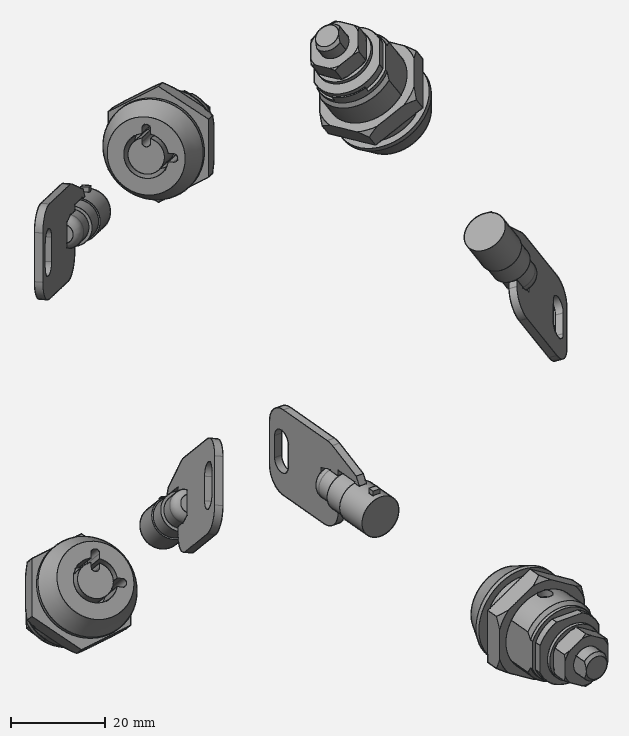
import cadquery as cq
import math


OVERALL_LENGTH = 117.1
LOCK_LENGTH = 33.6
KEY_LENGTH = 38.9

BEVEL_END = 5.3
HEAD_END = 6.3
REAR_CHAMFER_START = 19.8
REAR_CHAMFER_END = 20.7
BODY_END = 21.5
CAM_SEAT_START = 22.1
CAM_SEAT_END = 23.8

FACE_RADIUS = 8.5
HEAD_RADIUS = 11.0
BODY_RADIUS = 9.4
BODY_REAR_RADIUS = 8.7
BODY_FLAT = 8.0
PLUG_RADIUS = 6.7
CAM_SEAT_RADIUS = 8.3
CAM_SEAT_FLAT = 7.6
STOP_END = 22.8
STOP_HALF_ANGLE = 27.0
STUD_RADIUS = 3.4
STUD_FLAT = 2.7
STUD_CHAMFER = 0.7

DOWEL_RADIUS = 1.6
DOWEL_Y = 15.0
DOWEL_DEPTH = 1.8
KEYWAY_OUTER_RADIUS = 4.9
KEYWAY_INNER_RADIUS = 4.0
KEYWAY_DEPTH = 8.2
NOTCH_WIDTH = 1.9
NOTCH_REACH = 6.9
TOP_NOTCH_BOTTOM = 2.0

NUT_FRONT = 9.5
NUT_BACK = 13.8
NUT_ACROSS_FLATS = 2 * HEAD_RADIUS
NUT_CHAMFER_RADIUS = 11.6
NUT_CHAMFER_LENGTH = 1.2

FLANGE_FRONT = 24.9
FLANGE_BACK = 25.8
CAM_NUT_BACK = 30.0
FLANGE_RADIUS = 6.5
CAM_NUT_ACROSS_FLATS = 11.1
CAM_NUT_CHAMFER_RADIUS = 5.9
CAM_NUT_CHAMFER_LENGTH = 0.4

KEY_TIP_Y = LOCK_LENGTH - OVERALL_LENGTH + KEY_LENGTH
TUBE_RADIUS = 4.8
TUBE_END = 8.1
COLLAR_RADIUS = 4.5
COLLAR_END = 13.1
SHANK_RADIUS = 3.7
SHANK_END = 17.1
DOME_END = 19.5
DOME_END_RADIUS = 2.1
TOOTH_START = 1.4
TOOTH_LENGTH = 1.5
TOOTH_TOP = 5.9
KEY_THICKNESS = 1.9

BLADE_HALF_HEIGHT = 10.4
BLADE_NOSE_START = 6.3
BLADE_NOSE_END = 7.5
BLADE_NOSE_HEIGHT = 6.7
BLADE_SLOPE_END = 17.0
BLADE_BACK = 14.0
BLADE_CORNER = 5.0
WINDOW_HEIGHT = 5.0
POCKET_END = 20.1
POCKET_HALF_HEIGHT = 2.8
RING_SLOT_CENTER = 34.5
RING_SLOT_WIDTH = 4.9
RING_SLOT_LENGTH = 10.3


def turned(profile):
    """Solid of revolution about the Y axis from (radius, y) points."""
    return cq.Workplane("XY").polyline(profile).close().revolve(360, (0, 0, 0), (0, 1, 0))


def rod(radius, y_start, y_end):
    return turned([(0, y_start), (radius, y_start), (radius, y_end), (0, y_end)])


def block(x_min, x_max, y_min, y_max, z_min, z_max):
    size = (x_max - x_min, y_max - y_min, z_max - z_min)
    return cq.Workplane("XY").box(*size, centered=False).translate((x_min, y_min, z_min))


def hex_prism(across_flats, y_start, y_end):
    """Hexagonal prism along Y with two corners on the Z axis."""
    corner_radius = across_flats / math.sqrt(3)
    angles = [math.radians(30 + 60 * i) for i in range(6)]
    corners = [(corner_radius * math.cos(a), corner_radius * math.sin(a)) for a in angles]
    plane = cq.Workplane("XZ", origin=(0, y_start, 0))
    return plane.polyline(corners).close().extrude(y_start - y_end)


def make_body_shell():
    """Bevelled head and threaded body with its two side flats."""
    head = turned([(0, 0), (FACE_RADIUS, 0), (HEAD_RADIUS, BEVEL_END),
                   (HEAD_RADIUS, HEAD_END), (0, HEAD_END)])
    barrel = turned([(0, HEAD_END), (BODY_RADIUS, HEAD_END), (BODY_RADIUS, REAR_CHAMFER_START),
                     (BODY_REAR_RADIUS, REAR_CHAMFER_END), (BODY_REAR_RADIUS, BODY_END),
                     (0, BODY_END)])
    flats = block(-BODY_FLAT, BODY_FLAT, HEAD_END, BODY_END, -BODY_RADIUS, BODY_RADIUS)
    return head.union(barrel.intersect(flats))


def make_rear_end():
    """Plug end, cam seat, rotation stop and flattened stud behind the body."""
    plug = rod(PLUG_RADIUS, BODY_END, CAM_SEAT_START)
    seat_flats = block(-CAM_SEAT_FLAT, CAM_SEAT_FLAT, CAM_SEAT_START, CAM_SEAT_END,
                       -CAM_SEAT_RADIUS, CAM_SEAT_FLAT)
    seat = rod(CAM_SEAT_RADIUS, CAM_SEAT_START, CAM_SEAT_END).intersect(seat_flats)

    stop_center = (PLUG_RADIUS + BODY_REAR_RADIUS) / 2
    stop = (cq.Workplane("XY")
            .center(stop_center, (BODY_END + STOP_END) / 2)
            .rect(BODY_REAR_RADIUS - PLUG_RADIUS, STOP_END - BODY_END)
            .revolve(2 * STOP_HALF_ANGLE, (-stop_center, 0, 0), (-stop_center, 1, 0))
            .rotate((0, 0, 0), (0, 1, 0), 90 - STOP_HALF_ANGLE))

    stud = turned([(0, CAM_SEAT_END), (STUD_RADIUS, CAM_SEAT_END),
                   (STUD_RADIUS, LOCK_LENGTH - STUD_CHAMFER),
                   (STUD_RADIUS - STUD_CHAMFER, LOCK_LENGTH), (0, LOCK_LENGTH)])
    stud_flats = block(-STUD_FLAT, STUD_FLAT, CAM_SEAT_END, LOCK_LENGTH, -STUD_RADIUS, STUD_RADIUS)
    return plug.union(seat).union(stop).union(stud.intersect(stud_flats))


def make_notch(inner_end):
    """Round-ended keyway notch along +X, from inner_end out to NOTCH_REACH."""
    length = NOTCH_REACH - inner_end
    middle = (NOTCH_REACH + inner_end) / 2
    return cq.Workplane("XZ").center(middle, 0).slot2D(length, NOTCH_WIDTH).extrude(-KEYWAY_DEPTH)


def make_keyway():
    """Annular key slot with one notch on the +X side and one on top."""
    ring = rod(KEYWAY_OUTER_RADIUS, 0, KEYWAY_DEPTH).cut(rod(KEYWAY_INNER_RADIUS, 0, KEYWAY_DEPTH))
    side_notch = make_notch(KEYWAY_INNER_RADIUS)
    top_notch = make_notch(TOP_NOTCH_BOTTOM).rotate((0, 0, 0), (0, 1, 0), -90)
    return ring.union(side_notch).union(top_notch)


def make_lock():
    dowel_hole = (cq.Workplane("XY", origin=(0, DOWEL_Y, BODY_RADIUS - DOWEL_DEPTH))
                  .circle(DOWEL_RADIUS).extrude(2 * DOWEL_DEPTH))
    return make_body_shell().union(make_rear_end()).cut(make_keyway()).cut(dowel_hole)


def make_mounting_nut():
    """Hexagon nut on the body thread, chamfered on its rear side."""
    corner_radius = NUT_ACROSS_FLATS / math.sqrt(3)
    envelope = turned([(BODY_RADIUS, NUT_FRONT), (corner_radius, NUT_FRONT),
                       (corner_radius, NUT_BACK - NUT_CHAMFER_LENGTH),
                       (NUT_CHAMFER_RADIUS, NUT_BACK), (BODY_RADIUS, NUT_BACK)])
    return hex_prism(NUT_ACROSS_FLATS, NUT_FRONT, NUT_BACK).intersect(envelope)


def make_cam_nut():
    """Flanged hexagon nut on the stud, chamfered on both ends of the hexagon."""
    corner_radius = CAM_NUT_ACROSS_FLATS / math.sqrt(3)
    envelope = turned([(0, FLANGE_BACK), (CAM_NUT_CHAMFER_RADIUS, FLANGE_BACK),
                       (corner_radius, FLANGE_BACK + CAM_NUT_CHAMFER_LENGTH),
                       (corner_radius, CAM_NUT_BACK - CAM_NUT_CHAMFER_LENGTH),
                       (CAM_NUT_CHAMFER_RADIUS, CAM_NUT_BACK), (0, CAM_NUT_BACK)])
    hexagon = hex_prism(CAM_NUT_ACROSS_FLATS, FLANGE_BACK, CAM_NUT_BACK).intersect(envelope)
    flange = rod(FLANGE_RADIUS, FLANGE_FRONT, FLANGE_BACK)
    return flange.union(hexagon).cut(rod(STUD_RADIUS, FLANGE_FRONT, CAM_NUT_BACK))


def key_y(distance):
    """Y position at a distance behind the key tip."""
    return KEY_TIP_Y - distance


def make_key_barrel():
    """Stepped barrel with a domed rear end and a locating tooth on top."""
    dome_bulge = math.sqrt(0.5)
    dome_middle = (DOME_END_RADIUS + (SHANK_RADIUS - DOME_END_RADIUS) * dome_bulge,
                   key_y(SHANK_END + (DOME_END - SHANK_END) * dome_bulge))
    barrel = (cq.Workplane("XY")
              .moveTo(0, key_y(0))
              .lineTo(TUBE_RADIUS, key_y(0))
              .lineTo(TUBE_RADIUS, key_y(TUBE_END))
              .lineTo(COLLAR_RADIUS, key_y(TUBE_END))
              .lineTo(COLLAR_RADIUS, key_y(COLLAR_END))
              .lineTo(SHANK_RADIUS, key_y(COLLAR_END))
              .lineTo(SHANK_RADIUS, key_y(SHANK_END))
              .threePointArc(dome_middle, (DOME_END_RADIUS, key_y(DOME_END)))
              .lineTo(0, key_y(DOME_END))
              .close()
              .revolve(360, (0, 0, 0), (0, 1, 0)))
    tooth = block(-KEY_THICKNESS / 2, KEY_THICKNESS / 2,
                  key_y(TOOTH_START + TOOTH_LENGTH), key_y(TOOTH_START), 0, TOOTH_TOP)
    return barrel.union(tooth)


def key_plate(outline):
    """Flat plate of the key's thickness from (distance behind tip, z) points."""
    points = [(key_y(distance), z) for distance, z in outline]
    return cq.Workplane("YZ").polyline(points).close().extrude(KEY_THICKNESS / 2, both=True)


def make_key_blade():
    """Grip plate with rounded corners, a ring slot and a pocket behind the dome."""
    top = BLADE_HALF_HEIGHT
    grip = key_plate([(BLADE_NOSE_START, 0), (BLADE_NOSE_START, TUBE_RADIUS),
                      (BLADE_NOSE_END, BLADE_NOSE_HEIGHT), (BLADE_SLOPE_END, top),
                      (KEY_LENGTH, top), (KEY_LENGTH, -top), (BLADE_BACK, -top), (BLADE_BACK, 0)])
    rounded = [(BLADE_SLOPE_END, top), (KEY_LENGTH, top), (KEY_LENGTH, -top), (BLADE_BACK, -top)]
    for distance, z in rounded:
        corner = cq.selectors.NearestToPointSelector((0, key_y(distance), z))
        grip = grip.edges("|X").edges(corner).fillet(BLADE_CORNER)

    window = block(-KEY_THICKNESS, KEY_THICKNESS, key_y(BLADE_BACK), key_y(TUBE_END), 0, WINDOW_HEIGHT)
    pocket = key_plate([(SHANK_END, SHANK_RADIUS), (POCKET_END, POCKET_HALF_HEIGHT),
                        (POCKET_END, -POCKET_HALF_HEIGHT), (SHANK_END, -SHANK_RADIUS)])
    ring_slot = (cq.Workplane("YZ")
                 .center(key_y(RING_SLOT_CENTER), 0)
                 .slot2D(RING_SLOT_LENGTH, RING_SLOT_WIDTH, 90)
                 .extrude(KEY_THICKNESS, both=True))
    return grip.cut(window).cut(pocket).cut(ring_slot)


def make_key():
    return make_key_barrel().union(make_key_blade())


lock = make_lock()
mounting_nut = make_mounting_nut()
cam_nut = make_cam_nut()
key = make_key()

result = cq.Compound.makeCompound([lock.val(), mounting_nut.val(), cam_nut.val(), key.val()])